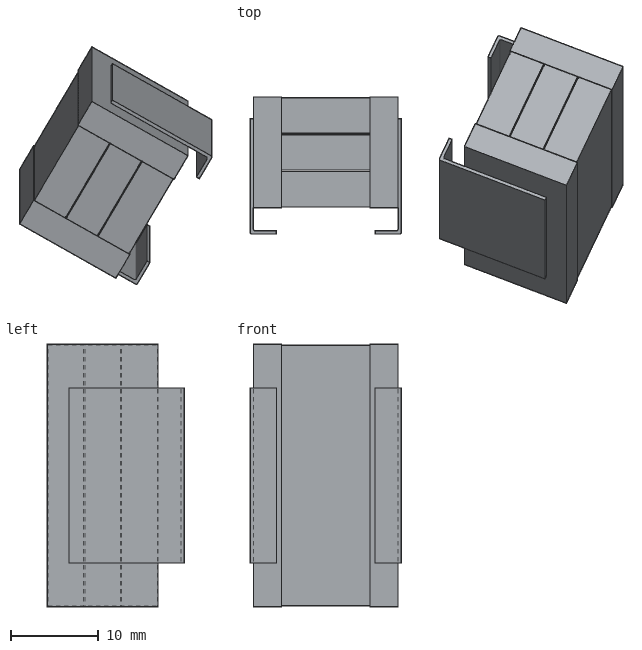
import cadquery as cq

OVERALL_WIDTH = 17.3
OVERALL_DEPTH = 15.7
HEIGHT = 30.0

SHEET = 0.4
LEAD_HEIGHT = 20.0
FOOT_LENGTH = 3.0
BEND_RADIUS = 0.2
LEAD_SETBACK = 2.5
STANDOFF = 3.0

CAP_WIDTH = 3.2
SLAB_COUNT = 3
SLAB_GAP = 0.12
SLAB_INSET = 0.1

STACK_WIDTH = OVERALL_WIDTH - 2 * SHEET
STACK_DEPTH = OVERALL_DEPTH - STANDOFF
SLAB_WIDTH = STACK_WIDTH - 2 * CAP_WIDTH
SLAB_HEIGHT = HEIGHT - 2 * SLAB_INSET
SLAB_DEPTH = (STACK_DEPTH - 2 * SLAB_INSET - (SLAB_COUNT - 1) * SLAB_GAP) / SLAB_COUNT
SLAB_PITCH = SLAB_DEPTH + SLAB_GAP
MIDDLE_SLAB = SLAB_COUNT // 2


def make_slab(index):
    """One slab of the stack, counted from the front (-Y)."""
    slab_y = (index - MIDDLE_SLAB) * SLAB_PITCH
    return cq.Workplane("XY").box(SLAB_WIDTH, SLAB_DEPTH, SLAB_HEIGHT).translate((0, slab_y, 0))


def make_left_lead():
    """L-shaped strip lying on the -X cap, with its foot turned inward in front of the stack."""
    outer_x = -OVERALL_WIDTH / 2
    inner_x = outer_x + SHEET
    foot_end_x = outer_x + FOOT_LENGTH
    foot_front_y = -STACK_DEPTH / 2 - STANDOFF
    foot_back_y = foot_front_y + SHEET
    rear_y = STACK_DEPTH / 2 - LEAD_SETBACK
    lead = (
        cq.Workplane("XY", origin=(0, 0, -LEAD_HEIGHT / 2))
        .moveTo(outer_x, rear_y)
        .lineTo(outer_x, foot_front_y)
        .lineTo(foot_end_x, foot_front_y)
        .lineTo(foot_end_x, foot_back_y)
        .lineTo(inner_x, foot_back_y)
        .lineTo(inner_x, rear_y)
        .close()
        .extrude(LEAD_HEIGHT)
    )
    outer_corner = cq.selectors.NearestToPointSelector((outer_x, foot_front_y, 0))
    inner_corner = cq.selectors.NearestToPointSelector((inner_x, foot_back_y, 0))
    lead = lead.edges("|Z").edges(outer_corner).fillet(BEND_RADIUS)
    return lead.edges("|Z").edges(inner_corner).fillet(BEND_RADIUS)


def make_left_terminal():
    """The -X end cap with its lead."""
    cap_x = -(STACK_WIDTH - CAP_WIDTH) / 2
    cap = cq.Workplane("XY").box(CAP_WIDTH, STACK_DEPTH, HEIGHT).translate((cap_x, 0, 0))
    return cap.union(make_left_lead())


def make_frame():
    """Both terminals, mirror images of each other, joined by the middle slab."""
    left_terminal = make_left_terminal()
    right_terminal = left_terminal.mirror("YZ")
    return make_slab(MIDDLE_SLAB).union(left_terminal).union(right_terminal)


frame = make_frame()

outer_slabs = []
for slab_index in range(SLAB_COUNT):
    if slab_index != MIDDLE_SLAB:
        outer_slabs.append(make_slab(slab_index).val())

result = cq.Compound.makeCompound([frame.val(), *outer_slabs])